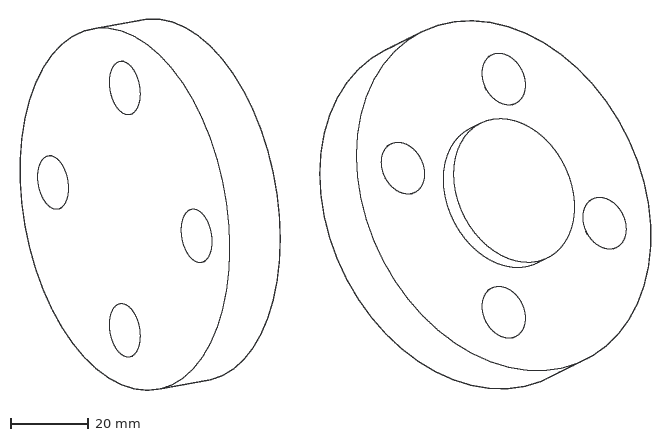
import cadquery as cq

flange_diameter = 95.0
flange_thickness = 16.0

boss_diameter = 39.0
boss_height = 4.5

bolt_circle_diameter = 65.0
bolt_hole_diameter = 14.0
bolt_hole_count = 4


def cylinder_along_y(diameter, start_y, length):
    """Cylinder centred on the Y axis, running from start_y toward +Y."""
    return cq.Workplane("XZ", origin=(0, start_y, 0)).circle(diameter / 2).extrude(-length)


def bolt_holes():
    """Cutting cylinders for the evenly spaced holes through the flange."""
    return (
        cq.Workplane("XZ")
        .polarArray(bolt_circle_diameter / 2, 0, 360, bolt_hole_count)
        .circle(bolt_hole_diameter / 2)
        .extrude(-flange_thickness)
    )


flange = cylinder_along_y(flange_diameter, 0, flange_thickness)
boss = cylinder_along_y(boss_diameter, flange_thickness, boss_height)

result = flange.union(boss).cut(bolt_holes())